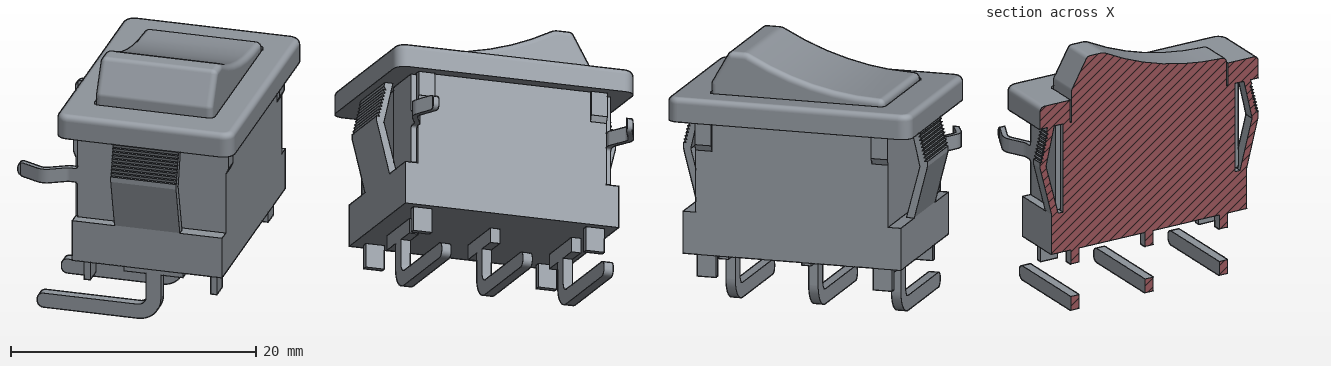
import cadquery as cq


overall_width = 18.65
overall_height = 22.15

bezel_width = 15.0
bezel_length = 20.9
bezel_thickness = 2.0
bezel_corner_radius = 1.0
bezel_edge_radius = 0.49
opening_width = 10.24
opening_length = 15.02

rocker_width = 9.93
rocker_length = 14.85
rocker_top = 5.52
rocker_low_end = 2.53
rocker_nose_bottom = 2.84
rocker_nose_inset = 1.53
rocker_crest_width = 1.55
rocker_crest_radius = 1.1
rocker_dish_mid_y = 0.45
rocker_dish_mid_z = 3.52
rocker_edge_radius = 0.49

body_width = 12.72
body_length = 16.49
body_depth = 11.3
base_length = 18.65
base_top = -7.75
tab_projection = 0.22
tab_length = 1.4
tab_height = 2.53
tab_taper_start = 2.02

latch_width = 5.55
latch_top_inner = 9.05
latch_top_outer = 9.73
latch_knee_inner = 9.82
latch_knee_outer = bezel_length / 2
latch_knee_top = -2.93
latch_knee_bottom = -3.4
latch_root_inner = 8.66
tooth_count = 9
tooth_pitch = 0.29
tooth_undercut = 0.15
teeth_top = latch_knee_top + tooth_count * tooth_pitch

bracket_thickness = 0.49
plate_edge_x = -6.07
plate_hidden_edge_x = -2.17
plate_top = -0.13
plate_bottom = -7.62
arm_top = -3.35
arm_bottom = -4.56
arm_tip_x = bezel_width / 2 - overall_width
arm_end_length = 0.22
arm_root_x = -6.87
arm_peak_x = -8.78
arm_peak_rise = 1.0
arm_peak_inner_radius = 0.75
arm_peak_outer_radius = 1.25
arm_root_bend_radius = 0.58
arm_root_fillet = 0.25
root_search = 0.22
arm_tip_radius = 0.49

terminal_spacing = 7.1
terminal_thickness = 0.82
terminal_width = 1.26
terminal_bottom = rocker_top - overall_height
terminal_tip_x = -9.86
terminal_tip_radius = 0.53
bend_inner_radius = 0.7
shoulder_width = 5.0
shoulder_height = 1.25

foot_bottom = -13.32
foot_thickness = 0.53
foot_length = 1.62
foot_spacing_x = 10.75
foot_spacing_y = 15.1


def block(x_range, y_range, z_range):
    """Box between the given limits."""
    sizes = [high - low for low, high in (x_range, y_range, z_range)]
    corner = (x_range[0], y_range[0], z_range[0])
    return cq.Workplane("XY").box(*sizes, centered=False).translate(corner)


def both_ends(solid):
    """The solid together with its mirror image across the XZ plane."""
    return solid.union(solid.mirror("XZ"))


def make_bezel():
    frame = (
        cq.Workplane("XY")
        .rect(bezel_width, bezel_length)
        .extrude(bezel_thickness)
        .edges("|Z")
        .fillet(bezel_corner_radius)
        .faces(">Z")
        .edges()
        .fillet(bezel_edge_radius)
    )
    opening = (
        cq.Workplane("XY")
        .rect(opening_width, opening_length)
        .extrude(bezel_thickness)
        .edges("|Z")
        .fillet(rocker_edge_radius)
    )
    return frame.cut(opening)


def make_rocker():
    low_y = rocker_length / 2
    nose_y = -rocker_length / 2
    crest_front = nose_y + rocker_nose_inset
    crest_back = crest_front + rocker_crest_width
    crest_edge = cq.selectors.NearestToPointSelector((0, crest_back, rocker_top))
    return (
        cq.Workplane("YZ")
        .moveTo(nose_y, 0)
        .lineTo(low_y, 0)
        .lineTo(low_y, rocker_low_end)
        .threePointArc((rocker_dish_mid_y, rocker_dish_mid_z), (crest_back, rocker_top))
        .lineTo(crest_front, rocker_top)
        .lineTo(nose_y, rocker_nose_bottom)
        .close()
        .extrude(rocker_width / 2, both=True)
        .edges(crest_edge)
        .fillet(rocker_crest_radius)
        .edges("not <Z")
        .fillet(rocker_edge_radius)
    )


def make_body():
    upper = cq.Workplane("XY").rect(body_width, body_length).extrude(-body_depth)
    base = (
        cq.Workplane("XY", origin=(0, 0, -body_depth))
        .rect(body_width, base_length)
        .extrude(body_depth + base_top)
    )
    return upper.union(base)


def make_tabs():
    """Tapered tabs under the bezel at the four body corners."""
    half_width = body_width / 2
    bar = (
        cq.Workplane("XZ")
        .polyline([
            (half_width + tab_projection, 0),
            (half_width + tab_projection, -tab_taper_start),
            (half_width, -tab_height),
            (-half_width, -tab_height),
            (-half_width - tab_projection, -tab_taper_start),
            (-half_width - tab_projection, 0),
        ])
        .close()
        .extrude(tab_length)
        .translate((0, body_length / 2, 0))
    )
    return both_ends(bar)


def make_latches():
    """Springy latches with a saw-toothed grip above the knee."""
    slope = (latch_knee_outer - latch_top_outer) / latch_knee_top
    outline = [
        (latch_root_inner, base_top),
        (latch_knee_inner, latch_knee_bottom),
        (latch_top_inner, 0),
        (latch_top_outer, 0),
    ]
    for i in range(tooth_count):
        tooth_top = teeth_top - i * tooth_pitch
        tooth_bottom = tooth_top - tooth_pitch
        crest_y = latch_top_outer + slope * tooth_top
        outline.append((crest_y, tooth_top))
        outline.append((crest_y - tooth_undercut, tooth_bottom))
    outline += [
        (latch_knee_outer, latch_knee_top),
        (latch_knee_outer, latch_knee_bottom),
        (base_length / 2, base_top),
    ]
    latch = cq.Workplane("YZ").polyline(outline).close().extrude(latch_width / 2, both=True)
    return both_ends(latch)


def make_brackets():
    inner_y = body_length / 2
    arm_end_x = arm_tip_x + arm_end_length
    bend_line = [
        (plate_hidden_edge_x, 0),
        (arm_root_x, 0),
        (arm_peak_x, arm_peak_rise),
        (arm_end_x, 0),
        (arm_tip_x, 0),
    ]
    inner_side = [(x, inner_y + rise) for x, rise in bend_line]
    outer_side = [(x, y + bracket_thickness) for x, y in reversed(inner_side)]
    strip = (
        cq.Workplane("XY", origin=(0, 0, plate_bottom))
        .polyline(inner_side + outer_side)
        .close()
        .extrude(plate_top - plate_bottom)
    )
    inner_root, inner_peak = inner_side[1:3]
    outer_peak, outer_root = outer_side[2:4]
    bends = [
        (inner_root, arm_root_bend_radius),
        (outer_root, arm_root_bend_radius),
        (inner_peak, arm_peak_inner_radius),
        (outer_peak, arm_peak_outer_radius),
    ]
    for (x, y), radius in bends:
        corner = cq.selectors.NearestToPointSelector((x, y, (plate_top + plate_bottom) / 2))
        strip = strip.edges(corner).fillet(radius)

    reach_y = (inner_y, inner_y + arm_peak_rise + bracket_thickness)
    plate = block((plate_edge_x, plate_hidden_edge_x), reach_y, (plate_bottom, plate_top))
    arm = (
        block((arm_tip_x, plate_edge_x), reach_y, (arm_bottom, arm_top))
        .edges("|Y and <X")
        .fillet(arm_tip_radius)
    )
    roots = cq.selectors.BoxSelector(
        (plate_edge_x - root_search, 0, arm_bottom - root_search),
        (plate_edge_x + root_search, base_length, arm_top + root_search),
    )
    silhouette = plate.union(arm).edges("|Y").edges(roots).fillet(arm_root_fillet)
    return both_ends(strip.intersect(silhouette))


def make_terminal(y):
    """Flat terminal bent over towards -X, with a wide shoulder under the body."""
    half_width = terminal_width / 2
    leg_top = terminal_bottom + terminal_width
    outer_radius = bend_inner_radius + terminal_width
    leg = (
        cq.Workplane("XZ", origin=(0, y, 0))
        .moveTo(-half_width, -body_depth)
        .lineTo(-half_width, leg_top + bend_inner_radius)
        .radiusArc((-half_width - bend_inner_radius, leg_top), bend_inner_radius)
        .lineTo(terminal_tip_x, leg_top)
        .lineTo(terminal_tip_x, terminal_bottom)
        .lineTo(half_width - outer_radius, terminal_bottom)
        .radiusArc((half_width, terminal_bottom + outer_radius), -outer_radius)
        .lineTo(half_width, -body_depth)
        .close()
        .extrude(terminal_thickness / 2, both=True)
        .edges("|Y and <X")
        .fillet(terminal_tip_radius)
    )
    shoulder = block(
        (-shoulder_width / 2, shoulder_width / 2),
        (y - terminal_thickness / 2, y + terminal_thickness / 2),
        (-body_depth - shoulder_height, -body_depth),
    )
    return leg.union(shoulder)


def make_feet():
    return (
        cq.Workplane("XY", origin=(0, 0, foot_bottom))
        .rect(foot_spacing_x, foot_spacing_y, forConstruction=True)
        .vertices()
        .rect(foot_thickness, foot_length)
        .extrude(-body_depth - foot_bottom)
    )


result = make_bezel().union(make_body()).union(make_rocker())
result = result.union(make_tabs()).union(make_latches()).union(make_brackets()).union(make_feet())
for terminal_y in (-terminal_spacing, 0, terminal_spacing):
    result = result.union(make_terminal(terminal_y))